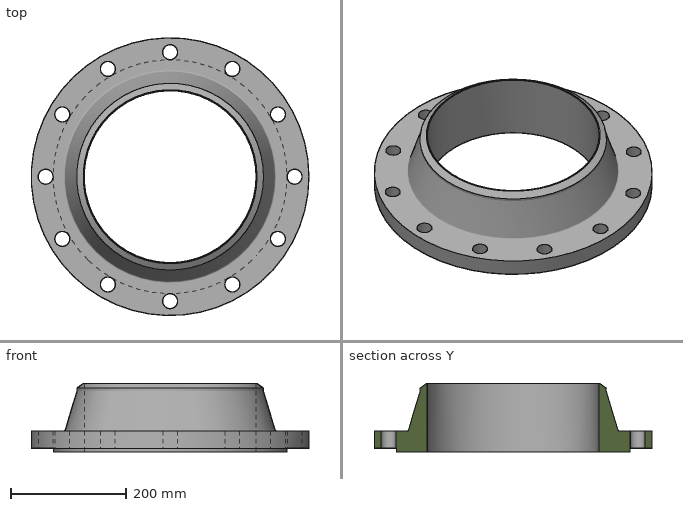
import cadquery as cq

raised_face_top = 6.5
flange_top = 36.5
hub_top = 105.5
bevel_start = 111.0
total_height = 119.0

flange_radius = 482.5 / 2
raised_face_radius = 203.0
hub_base_radius = 183.0
pipe_radius = 162.0
bore_radius = 149.0
land_width = 2.0
hub_fillet = 3.0

bolt_count = 12
bolt_circle_radius = 216.0
bolt_hole_diameter = 25.5


def turned_body():
    """Half section, radius by height, revolved about the Z axis."""
    section = (
        cq.Workplane("XZ")
        .moveTo(bore_radius, 0)
        .lineTo(raised_face_radius, 0)
        .lineTo(raised_face_radius, raised_face_top)
        .lineTo(flange_radius, raised_face_top)
        .lineTo(flange_radius, flange_top)
        .lineTo(hub_base_radius, flange_top)
        .lineTo(pipe_radius, hub_top)
        .lineTo(pipe_radius, bevel_start)
        .lineTo(bore_radius + land_width, total_height)
        .lineTo(bore_radius, total_height)
        .close()
    )
    return section.revolve(360, (0, 0, 0), (0, 1, 0))


def fillet_hub_base(body):
    """Round the inside corner where the tapered hub meets the flange."""
    margin = 0.5
    reach = hub_base_radius + margin
    corner = cq.selectors.BoxSelector(
        (-reach, -reach, flange_top - margin),
        (reach, reach, flange_top + margin),
        boundingbox=True,
    )
    return body.edges(corner).fillet(hub_fillet)


def drill_bolt_holes(body):
    """Cut the ring of through holes, the first one on the X axis."""
    holes = (
        cq.Workplane("XY")
        .polarArray(bolt_circle_radius, 0, 360, bolt_count)
        .circle(bolt_hole_diameter / 2)
        .extrude(flange_top)
    )
    return body.cut(holes)


result = drill_bolt_holes(fillet_hub_base(turned_body()))